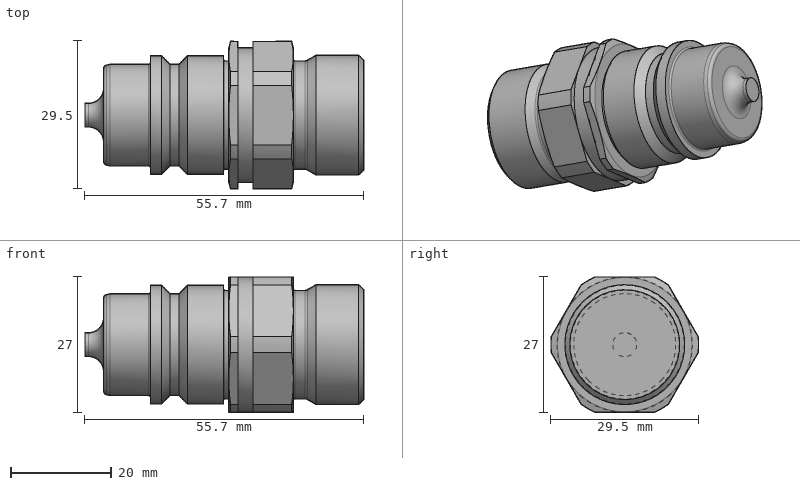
import cadquery as cq
import math


LENGTH = 55.7

PIN_RADIUS = 2.4
PIN_FLARE = 2.95
NOSE_FACE_X = 3.75
NOSE_RADIUS = 10.2
NOSE_TAPER_END_X = 5.05
NOSE_TAPER = math.radians(15)
NOSE_ROUND = 0.8

COLLAR_X = 13.1
COLLAR_RADIUS = 11.85
COLLAR_WIDTH = 2.25
COLLAR_FILLET = 0.35
BODY_X = 20.5
BODY_END_X = 27.75
GROOVE_DEPTH = COLLAR_RADIUS - NOSE_RADIUS

NECK_RADIUS = 10.85
FRONT_NECK_FILLET = 0.15
REAR_NECK_FILLET = 0.3

HEX_START_X = 28.75
HEX_END_X = 41.65
HEX_ACROSS_FLATS = 27.0
HEX_CORNER_RADIUS = 14.75
HEX_FACE_RADIUS = 13.4
HEX_CORE_RADIUS = 12.25
HEX_BEVEL = math.radians(15)
HEX_GROOVE_X = 30.6
HEX_GROOVE_WIDTH = 3.0

END_RADIUS = 12.0
END_X = 46.2
END_CHAMFER = 1.0
END_CONE = math.radians(30)
END_CONE_BLEND = 0.9


def tapered_nose_start():
    """Return where the nose round leaves the face and where it meets the taper."""
    round_end_x = NOSE_FACE_X + NOSE_ROUND * (1 - math.sin(NOSE_TAPER))
    round_end_r = NOSE_RADIUS - (NOSE_TAPER_END_X - round_end_x) * math.tan(NOSE_TAPER)
    face_edge_r = round_end_r - NOSE_ROUND * math.cos(NOSE_TAPER)
    return (NOSE_FACE_X, face_edge_r), (round_end_x, round_end_r)


def make_turned_body():
    """Revolve everything except the hexagon."""
    face_edge, taper_start = tapered_nose_start()
    cone_start_r = NECK_RADIUS + END_CONE_BLEND * (1 - math.cos(END_CONE))
    cone_start_x = END_X - (END_RADIUS - cone_start_r) / math.tan(END_CONE)
    blend_start_x = cone_start_x - END_CONE_BLEND * math.sin(END_CONE)
    collar_end_x = COLLAR_X + COLLAR_WIDTH

    profile = (
        cq.Workplane("XY")
        .moveTo(0, 0)
        .lineTo(0, PIN_RADIUS)
        .lineTo(NOSE_FACE_X - PIN_FLARE, PIN_RADIUS)
        .tangentArcPoint((NOSE_FACE_X, PIN_RADIUS + PIN_FLARE), relative=False)
        .lineTo(*face_edge)
        .tangentArcPoint(taper_start, relative=False)
        .lineTo(NOSE_TAPER_END_X, NOSE_RADIUS)
        .lineTo(COLLAR_X - COLLAR_FILLET, NOSE_RADIUS)
        .tangentArcPoint((COLLAR_X, NOSE_RADIUS + COLLAR_FILLET), relative=False)
        .lineTo(COLLAR_X, COLLAR_RADIUS)
        .lineTo(collar_end_x, COLLAR_RADIUS)
        .lineTo(collar_end_x + GROOVE_DEPTH, NOSE_RADIUS)
        .lineTo(BODY_X - GROOVE_DEPTH, NOSE_RADIUS)
        .lineTo(BODY_X, COLLAR_RADIUS)
        .lineTo(BODY_END_X, COLLAR_RADIUS)
        .lineTo(BODY_END_X, NECK_RADIUS + FRONT_NECK_FILLET)
        .tangentArcPoint((BODY_END_X + FRONT_NECK_FILLET, NECK_RADIUS), relative=False)
        .lineTo(HEX_START_X, NECK_RADIUS)
        .lineTo(HEX_START_X, HEX_CORE_RADIUS)
        .lineTo(HEX_END_X, HEX_CORE_RADIUS)
        .lineTo(HEX_END_X, NECK_RADIUS + REAR_NECK_FILLET)
        .tangentArcPoint((HEX_END_X + REAR_NECK_FILLET, NECK_RADIUS), relative=False)
        .lineTo(blend_start_x, NECK_RADIUS)
        .tangentArcPoint((cone_start_x, cone_start_r), relative=False)
        .lineTo(END_X, END_RADIUS)
        .lineTo(LENGTH - END_CHAMFER, END_RADIUS)
        .lineTo(LENGTH, END_RADIUS - END_CHAMFER)
        .lineTo(LENGTH, 0)
        .close()
    )
    return profile.revolve(360, (0, 0, 0), (1, 0, 0))


def make_hexagon():
    """Cut a hexagonal bar with a bevelled, grooved round blank; two corners point along Y."""
    across_corners = HEX_ACROSS_FLATS / math.cos(math.radians(30))
    bar = (
        cq.Workplane("YZ", origin=(HEX_START_X, 0, 0))
        .polygon(6, across_corners)
        .extrude(HEX_END_X - HEX_START_X)
    )

    bevel = (HEX_CORNER_RADIUS - HEX_FACE_RADIUS) * math.tan(HEX_BEVEL)
    groove_radius = HEX_ACROSS_FLATS / 2
    groove_end_x = HEX_GROOVE_X + HEX_GROOVE_WIDTH
    blank_points = [
        (HEX_START_X, 0),
        (HEX_START_X, HEX_FACE_RADIUS),
        (HEX_START_X + bevel, HEX_CORNER_RADIUS),
        (HEX_GROOVE_X, HEX_CORNER_RADIUS),
        (HEX_GROOVE_X, groove_radius),
        (groove_end_x, groove_radius),
        (groove_end_x, HEX_CORNER_RADIUS),
        (HEX_END_X - bevel, HEX_CORNER_RADIUS),
        (HEX_END_X, HEX_FACE_RADIUS),
        (HEX_END_X, 0),
    ]
    blank = cq.Workplane("XY").polyline(blank_points).close().revolve(360, (0, 0, 0), (1, 0, 0))
    return bar.intersect(blank)


result = make_turned_body().union(make_hexagon())